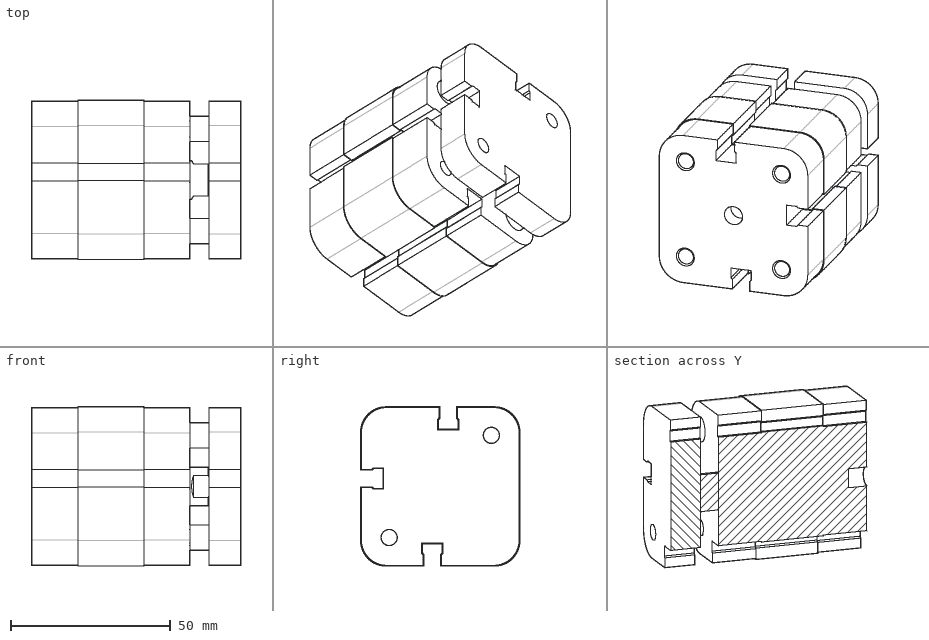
import cadquery as cq
import math


total_length = 65.5
rear_cap_length = 14.5
barrel_length = 20.6
front_cap_length = 14.5
plate_thickness = 10.0
housing_length = rear_cap_length + barrel_length + front_cap_length
plate_start = total_length - plate_thickness

barrel_side = 50.0
inset = 0.25
corner_radius = 8.0
cap_side = barrel_side - 2 * inset
plate_corner_radius = corner_radius - inset

slot_offset = 2.5
slot_mouth_width = 5.25
slot_inner_width = 6.2
slot_depth = 7.0
slot_neck_depth = 3.75
slot_overcut = 0.65
slot_turns = (0, 90, 180)

hole_spacing = 32.0
mount_hole_diameter = 5.0
mount_hole_chamfer = 0.5
center_hole_diameter = 6.0
center_hole_depth = 6.0
guide_diameter = 8.0

piston_diameter = 12.2
piston_flat_width = 10.1
piston_collar_length = 0.5
piston_end_chamfer = 0.2
flat_slope_angle = 30.0

half_spacing = hole_spacing / 2
guide_centers = [(-half_spacing, half_spacing), (half_spacing, -half_spacing)]
open_centers = [(half_spacing, half_spacing), (-half_spacing, -half_spacing)]


def section_plane(x):
    """Plane across the stroke axis whose local axes are the part's Y and Z."""
    return cq.Workplane("YZ", origin=(x, 0, 0))


def slot_cutter(growth, start, length):
    """T-slot in the +Z side, with its walls and floor set back by the growth."""
    mouth = slot_mouth_width / 2 + growth
    inner = slot_inner_width / 2 + growth
    outside = barrel_side / 2 + slot_overcut
    floor = barrel_side / 2 - slot_depth - growth
    neck = barrel_side / 2 - slot_neck_depth + growth
    shoulder = neck - (inner - mouth)
    half_outline = [(mouth, outside), (mouth, neck), (inner, shoulder), (inner, floor)]
    mirrored = [(-y, z) for y, z in reversed(half_outline)]
    outline = [(y + slot_offset, z) for y, z in half_outline + mirrored]
    return section_plane(start).polyline(outline).close().extrude(length)


def slotted_block(side, radius, start, length):
    """Rounded square block along X with T-slots in its +Z, -Y and -Z sides."""
    block = section_plane(start).rect(side, side).extrude(length).edges("|X").fillet(radius)
    cutter = slot_cutter((barrel_side - side) / 2, start, length)
    for turn in slot_turns:
        block = block.cut(cutter.rotate((0, 0, 0), (1, 0, 0), turn))
    return block


def cylinders(centers, diameter, start, length):
    """Equal cylinders along X, one at each (Y, Z) centre."""
    return section_plane(start).pushPoints(centers).circle(diameter / 2).extrude(length)


def make_housing():
    """Barrel between two caps, with the mounting holes and the blind rear centre hole."""
    barrel_end = rear_cap_length + barrel_length
    body = slotted_block(cap_side, corner_radius, 0, rear_cap_length)
    body = body.union(slotted_block(barrel_side, corner_radius, rear_cap_length, barrel_length))
    body = body.union(slotted_block(cap_side, corner_radius, barrel_end, front_cap_length))
    body = body.cut(cylinders(guide_centers + open_centers, mount_hole_diameter, 0, housing_length))
    hole_rims = cq.selectors.RadiusNthSelector(0)
    body = body.faces("<X").edges("%CIRCLE").edges(hole_rims).chamfer(mount_hole_chamfer)
    return body.cut(cylinders([(0, 0)], center_hole_diameter, 0, center_hole_depth))


def make_plate():
    """Front plate, open at the two mounting holes that no guide rod covers."""
    plate = slotted_block(cap_side, plate_corner_radius, plate_start, plate_thickness)
    return plate.cut(cylinders(open_centers, mount_hole_diameter, plate_start, plate_thickness))


def make_guide_rod(center):
    """Plain guide rod spanning the gap between the housing and the plate."""
    return cylinders([center], guide_diameter, housing_length, plate_start - housing_length)


def make_piston_rod():
    """Piston rod with a short round collar, then two flats reached by sloped steps."""
    radius = piston_diameter / 2
    flat = piston_flat_width / 2
    rod = cylinders([(0, 0)], piston_diameter, housing_length, plate_start - housing_length)
    rod = rod.faces(">X").edges().chamfer(piston_end_chamfer)
    slope_start = housing_length + piston_collar_length
    slope_end = slope_start + (radius - flat) * math.tan(math.radians(flat_slope_angle))
    outline = [(slope_start, radius), (slope_end, flat), (plate_start, flat), (plate_start, radius)]
    flat_cutter = cq.Workplane("XY").polyline(outline).close().extrude(radius, both=True)
    return rod.cut(flat_cutter).cut(flat_cutter.mirror("XZ"))


housing = make_housing()
plate = make_plate()
piston_rod = make_piston_rod()
guide_rods = [make_guide_rod(center) for center in guide_centers]

result = cq.Compound.makeCompound(
    [housing.val(), plate.val(), piston_rod.val()] + [rod.val() for rod in guide_rods]
)